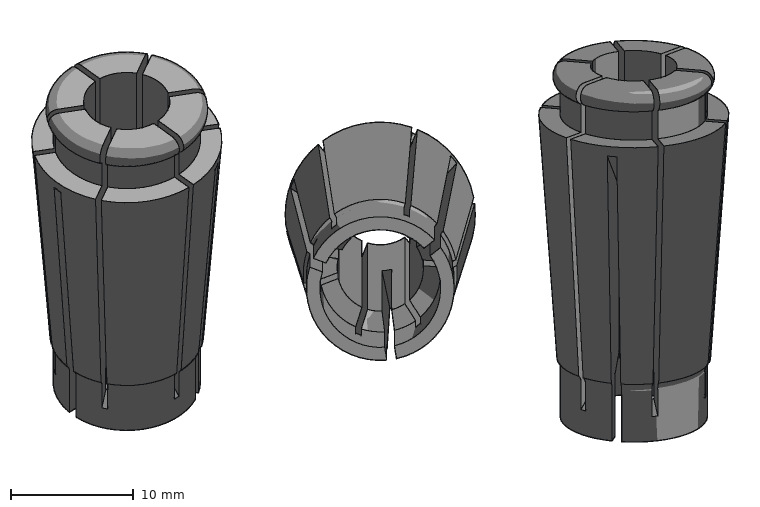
import cadquery as cq
import math

total_height = 30.5
shoulder_z = 26.3
cone_bottom_z = 5.12
tail_top_z = 4.42

cone_top_radius = 7.75
cone_half_angle = 4.0
neck_radius = 6.0
tail_radius = neck_radius
fillet_below_cone = 0.73
rim_bulge_diameter = 1.8
rim_bulge_radius = rim_bulge_diameter / 2
rim_outer_radius = 6.6

bore_radius = 3.5
relief_radius = 4.9
relief_depth = 5.5
relief_taper_height = relief_radius - bore_radius

top_slot_width = 0.5
top_slot_count = 6
top_slot_first_angle = 30.0
top_slot_end_z = 2.17
bottom_slot_width = 0.8
bottom_slot_count = 3
bottom_slot_first_angle = 0.0
bottom_slot_end_z = 25.5
overshoot = 1.52


def revolved_body():
    """Rimmed head, neck, long taper and plain tail, solid across the axis."""
    cone_drop = shoulder_z - cone_bottom_z
    cone_bottom_radius = cone_top_radius - cone_drop * math.tan(math.radians(cone_half_angle))

    rim_centre_radius = rim_outer_radius - rim_bulge_radius
    rim_centre_z = total_height - rim_bulge_radius
    rim_overhang = neck_radius - rim_centre_radius
    rim_bottom_z = rim_centre_z - math.sqrt(rim_bulge_radius**2 - rim_overhang**2)

    profile = (
        cq.Workplane("XZ")
        .moveTo(0, 0)
        .lineTo(tail_radius, 0)
        .lineTo(tail_radius, tail_top_z)
        .radiusArc((cone_bottom_radius, cone_bottom_z), fillet_below_cone)
        .lineTo(cone_top_radius, shoulder_z)
        .lineTo(neck_radius, shoulder_z)
        .lineTo(neck_radius, rim_bottom_z)
        .threePointArc((rim_outer_radius, rim_centre_z), (rim_centre_radius, total_height))
        .lineTo(0, total_height)
        .close()
    )
    return profile.revolve(360, (0, 0, 0), (0, 1, 0))


def stepped_bore():
    """Through bore with a wider relief at the bottom, joined by a 45 degree taper."""
    profile = (
        cq.Workplane("XZ")
        .moveTo(0, 0)
        .lineTo(relief_radius, 0)
        .lineTo(relief_radius, relief_depth)
        .lineTo(bore_radius, relief_depth + relief_taper_height)
        .lineTo(bore_radius, total_height)
        .lineTo(0, total_height)
        .close()
    )
    return profile.revolve(360, (0, 0, 0), (0, 1, 0))


def slot_cutter(width, end_z, end_radius, open_z, angle):
    """Radial slot running from its end up or down to open_z, on one side of the axis.

    Its end lies at end_z where it meets end_radius and slopes 45 degrees towards the open side inward.
    """
    slope = math.copysign(1, open_z - end_z)
    outer_radius = cone_top_radius + overshoot
    outer_end_z = end_z - slope * (outer_radius - end_radius)
    axis_end_z = end_z + slope * end_radius
    return (
        cq.Workplane("XZ")
        .polyline([(0, axis_end_z), (outer_radius, outer_end_z), (outer_radius, open_z), (0, open_z)])
        .close()
        .extrude(width / 2, both=True)
        .rotate((0, 0, 0), (0, 0, 1), angle)
    )


result = revolved_body().cut(stepped_bore())

for index in range(top_slot_count):
    slot_angle = top_slot_first_angle + index * 360 / top_slot_count
    result = result.cut(
        slot_cutter(top_slot_width, top_slot_end_z, tail_radius, total_height + overshoot, slot_angle)
    )

for index in range(bottom_slot_count):
    slot_angle = bottom_slot_first_angle + index * 360 / bottom_slot_count
    result = result.cut(
        slot_cutter(bottom_slot_width, bottom_slot_end_z, cone_top_radius, -overshoot, slot_angle)
    )